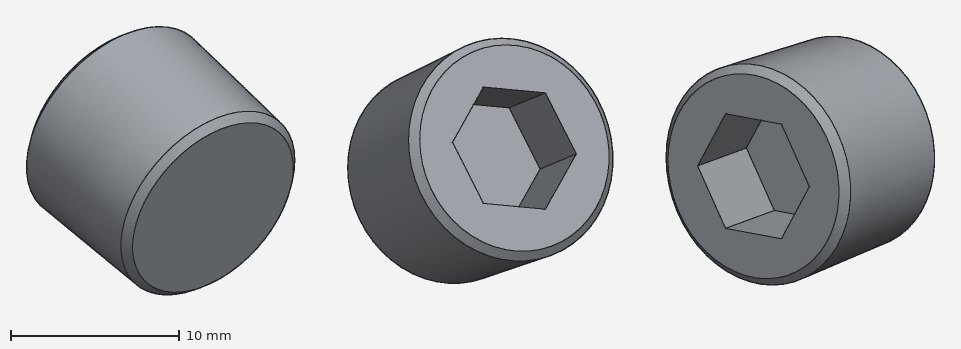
import cadquery as cq
import math

length = 10.0
large_diameter = 13.44
taper = 1 / 16
chamfer = 0.5
socket_across_flats = 7.04
socket_depth = 5.0

large_radius = large_diameter / 2
small_radius = large_radius - (length - 2 * chamfer) * taper / 2
socket_across_corners = socket_across_flats / math.cos(math.radians(30))


def tapered_body():
    """Revolve the chamfered, tapered half profile about the X axis."""
    return (
        cq.Workplane("XY")
        .moveTo(0, 0)
        .lineTo(0, large_radius - chamfer)
        .lineTo(chamfer, large_radius)
        .lineTo(length - chamfer, small_radius)
        .lineTo(length, small_radius - chamfer)
        .lineTo(length, 0)
        .close()
        .revolve(360, (0, 0, 0), (1, 0, 0))
    )


def hex_socket():
    """Blind hexagon from the wide end, corners on the Y axis."""
    return cq.Workplane("YZ").polygon(6, socket_across_corners).extrude(socket_depth)


result = tapered_body().cut(hex_socket())